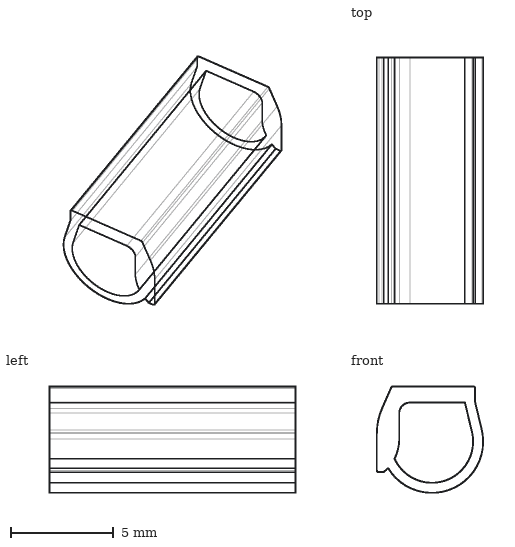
import cadquery as cq
import math

length = 12.0
outer_radius = 2.5
tube_wall = 0.5
inner_radius = outer_radius - tube_wall

top_z = 2.697
left_x = -2.69
foot_z = -1.49
right_shoulder_x = 2.105
edge_radius = 0.1

flank_arc_start_z = 0.41
flank_arc_radius = 3.0
flank_slope = math.radians(23.7)

wall_tilt = math.radians(13.5)

roof_thickness = 0.8
ceiling_z = top_z - roof_thickness
cavity_left_x = -1.585
cavity_corner_radius = 0.5
cavity_bulge_radius = 2.2
cavity_bulge_start_z = 0.15

notch_x = -2.14
notch_angle = math.radians(43)


def on_circle(radius, angle):
    """Point on a circle about the tube centre."""
    return (radius * math.cos(angle), radius * math.sin(angle))


def wall_x(radius, z):
    """X at height z of the line tangent to the given tube circle."""
    return (radius - z * math.sin(wall_tilt)) / math.cos(wall_tilt)


def wall_z(radius, x):
    """Z at position x of the line tangent to the given tube circle."""
    return (radius - x * math.cos(wall_tilt)) / math.sin(wall_tilt)


def flank_arc_point(angle):
    """Point on the flank arc, which starts vertical at angle zero."""
    x = left_x + flank_arc_radius * (1 - math.cos(angle))
    z = flank_arc_start_z + flank_arc_radius * math.sin(angle)
    return (x, z)


def cavity_bulge_point(angle):
    """Point on the arc that widens the cavity below its straight left side."""
    x = cavity_left_x - cavity_bulge_radius * (1 - math.cos(angle))
    z = cavity_bulge_start_z - cavity_bulge_radius * math.sin(angle)
    return (x, z)


def cavity_bulge_sweep():
    """Angle at which the bulge arc meets the inner tube circle."""
    centre_x = cavity_left_x - cavity_bulge_radius
    centre_z = cavity_bulge_start_z
    distance = math.hypot(centre_x, centre_z)
    toward_tube = math.atan2(-centre_z, -centre_x)
    side_terms = distance**2 + cavity_bulge_radius**2 - inner_radius**2
    cosine = side_terms / (2 * distance * cavity_bulge_radius)
    return math.acos(cosine) - toward_tube


def outer_body():
    slope_start = flank_arc_point(flank_slope)
    top_left_x = slope_start[0] + (top_z - slope_start[1]) * math.tan(flank_slope)
    notch_z = -math.sqrt(outer_radius**2 - notch_x**2)
    foot_right_x = notch_x - (notch_z - foot_z) / math.tan(notch_angle)
    lowest_point = (0, -outer_radius)

    body = (
        cq.Workplane("XZ", origin=(0, length / 2, 0))
        .moveTo(left_x, foot_z)
        .lineTo(left_x, flank_arc_start_z)
        .threePointArc(flank_arc_point(flank_slope / 2), slope_start)
        .lineTo(top_left_x, top_z)
        .lineTo(right_shoulder_x, top_z)
        .lineTo(right_shoulder_x, wall_z(outer_radius, right_shoulder_x))
        .lineTo(*on_circle(outer_radius, wall_tilt))
        .threePointArc(lowest_point, (notch_x, notch_z))
        .lineTo(foot_right_x, foot_z)
        .close()
        .extrude(length)
    )
    rounded_corners = [(left_x, foot_z), (top_left_x, top_z), (right_shoulder_x, top_z)]
    for x, z in rounded_corners:
        edge = cq.selectors.NearestToPointSelector((x, 0, z))
        body = body.edges("|Y").edges(edge).fillet(edge_radius)
    return body


def cavity():
    sweep = cavity_bulge_sweep()
    lowest_point = (0, -inner_radius)
    void = (
        cq.Workplane("XZ", origin=(0, length / 2, 0))
        .moveTo(cavity_left_x, ceiling_z)
        .lineTo(wall_x(inner_radius, ceiling_z), ceiling_z)
        .lineTo(*on_circle(inner_radius, wall_tilt))
        .threePointArc(lowest_point, cavity_bulge_point(sweep))
        .threePointArc(cavity_bulge_point(sweep / 2), (cavity_left_x, cavity_bulge_start_z))
        .close()
        .extrude(length)
    )
    corner = cq.selectors.NearestToPointSelector((cavity_left_x, 0, ceiling_z))
    return void.edges("|Y").edges(corner).fillet(cavity_corner_radius)


result = outer_body().cut(cavity())